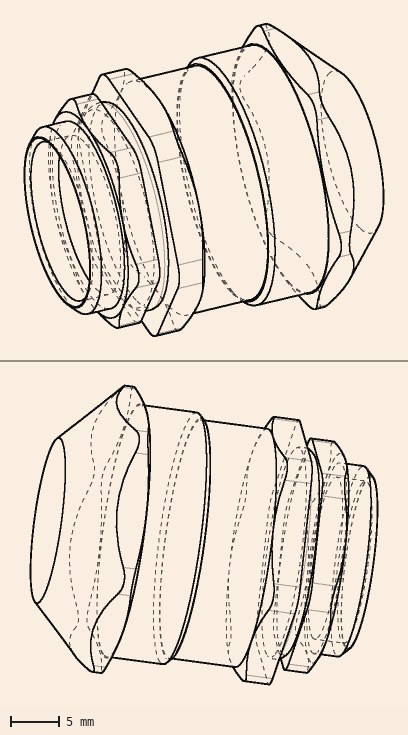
import cadquery as cq
import math

total_length = 33.05
corner_radius = 3.0
bevel_angle = 30.0

entry_diameter = 20.0
entry_chamfer = 0.9
bore_diameter = 17.0
bore_chamfer = 0.5
bore_depth = 3.6

lock_nut_start = 3.47
lock_nut_end = 6.5
body_hex_start = 8.0
body_hex_end = 11.47
collar_start = 18.5
dome_nut_start = 25.02

lock_nut_flats = 21.98
body_flats = 25.0
dome_nut_flats = 27.0

body_diameter = body_flats
seal_diameter = 22.2
seal_section_radius = 1.2
seal_center = 7.5
collar_diameter = 26.4
collar_chamfer = 0.53

dome_top_diameter = 17.32
dome_bevel_start_diameter = 26.65
dome_bevel_angle = 20.0


def cylinder(diameter, start, end):
    """Solid cylinder on the Y axis between two stations."""
    return cq.Workplane("XZ", origin=(0, start, 0)).circle(diameter / 2).extrude(start - end)


def hexagon(flats, start, end):
    """Round-cornered hexagonal prism with two corners on the X axis."""
    corner_distance = flats / math.cos(math.radians(30))
    prism = cq.Workplane("XZ", origin=(0, start, 0)).polygon(6, corner_distance).extrude(start - end)
    return prism.edges("|Y").fillet(corner_radius)


def revolve_profile(points):
    """Turn a closed (radius, station) profile around the Y axis."""
    return cq.Workplane("XY").polyline(points).close().revolve(360, (0, 0, 0), (0, 1, 0))


def bevel_envelope(start_radius, outer_radius, face, far_face, angle):
    """Turned blank whose end at `face` is coned back toward `far_face`."""
    setback = (outer_radius - start_radius) * math.tan(math.radians(angle))
    direction = math.copysign(1, far_face - face)
    return revolve_profile([
        (0, face),
        (start_radius, face),
        (outer_radius, face + direction * setback),
        (outer_radius, far_face),
        (0, far_face),
    ])


entry = cylinder(entry_diameter, 0, body_hex_start).faces("<Y").chamfer(entry_chamfer)
lock_nut = hexagon(lock_nut_flats, lock_nut_start, lock_nut_end).intersect(
    bevel_envelope(lock_nut_flats / 2, lock_nut_flats, lock_nut_start, 2 * lock_nut_flats, bevel_angle)
)

seal = (
    cq.Workplane("XY")
    .moveTo(seal_diameter / 2 - seal_section_radius, seal_center)
    .circle(seal_section_radius)
    .revolve(360, (0, 0, 0), (0, 1, 0))
)

body_hex = hexagon(body_flats, body_hex_start, body_hex_end).intersect(
    bevel_envelope(body_flats / 2, body_flats, body_hex_end, -body_flats, bevel_angle)
)
barrel = cylinder(body_diameter, body_hex_start, dome_nut_start)
collar = cylinder(collar_diameter, collar_start, dome_nut_start).faces("<Y").chamfer(collar_chamfer)

dome_base_radius = dome_top_diameter / 2 + total_length - dome_nut_start
dome_cone = revolve_profile([
    (0, dome_nut_start),
    (dome_base_radius, dome_nut_start),
    (dome_top_diameter / 2, total_length),
    (0, total_length),
])
dome_nut = (
    hexagon(dome_nut_flats, dome_nut_start, total_length)
    .intersect(dome_cone)
    .intersect(bevel_envelope(
        dome_bevel_start_diameter / 2, dome_nut_flats, dome_nut_start, 2 * total_length, dome_bevel_angle
    ))
)

bore_radius = bore_diameter / 2
bore = revolve_profile([
    (0, 0),
    (bore_radius + bore_chamfer, 0),
    (bore_radius, bore_chamfer),
    (bore_radius, bore_depth),
    (0, bore_depth),
])

result = entry
for section in (lock_nut, seal, body_hex, barrel, collar, dome_nut):
    result = result.union(section)
result = result.cut(bore)